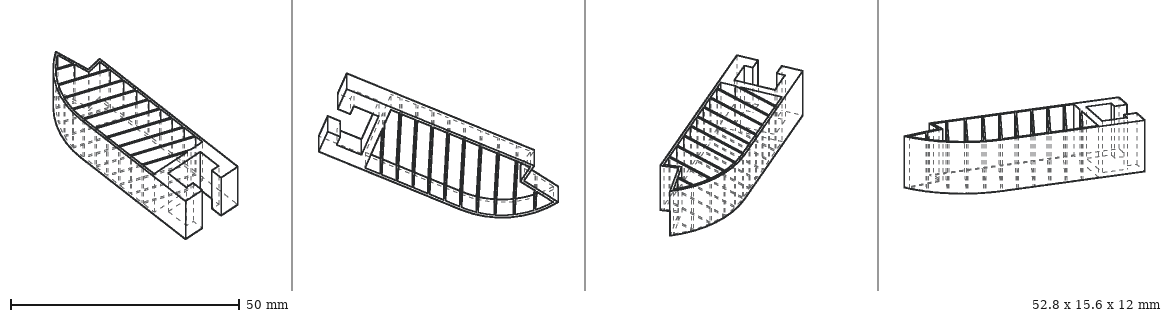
import cadquery as cq
import math

length = 52.8
width = 15.6
height = 12.0
skin = 0.6

tip_y = 10.0
nose_length = 19.0
nose_radius = (nose_length**2 + tip_y**2) / (2 * tip_y)

notch_tilt = math.radians(10)
notch_start_x = 8.1

rib_count = 10
rib_pitch = nose_length / 5
rib_thickness = 0.4
rib_lean = math.radians(20)

cavity_end_x = 42.0
channel_depth = 8.9
channel_width = 9.6
lip_depth = 3.0
mouth_width = 5.6


def arc_x(y, inset):
    """X of the nose arc at the given Y, with the arc moved inward by inset."""
    return nose_length - math.sqrt((nose_radius - inset) ** 2 - (nose_radius - y) ** 2)


def skin_y(x):
    """Y of the outer skin on the nose arc and the flat side."""
    if x >= nose_length:
        return 0.0
    return nose_radius - math.sqrt(nose_radius**2 - (nose_length - x) ** 2)


def make_notch(inset):
    """Block that removes the notch, its two walls moved inward by inset."""
    rise = width - tip_y
    wall_length = rise * math.cos(notch_tilt) - notch_start_x * math.sin(notch_tilt)
    corner_x = notch_start_x + wall_length * math.sin(notch_tilt)
    corner_y = width - wall_length * math.cos(notch_tilt)
    return (
        cq.Workplane("XY")
        .box(width, width, height, centered=(False, False, False))
        .translate((inset - width, -inset, 0))
        .rotate((0, 0, 0), (0, 0, 1), math.degrees(notch_tilt))
        .translate((corner_x, corner_y, 0))
    )


def make_body(inset, end_x):
    """Solid nose profile, every side moved inward by inset, with a straight end at end_x."""
    top_y = width - inset
    middle_y = tip_y / 2
    return (
        cq.Workplane("XY")
        .moveTo(arc_x(top_y, inset), top_y)
        .threePointArc((arc_x(middle_y, inset), middle_y), (nose_length, inset))
        .lineTo(end_x, inset)
        .lineTo(end_x, top_y)
        .close()
        .extrude(height)
        .cut(make_notch(inset))
    )


def make_rib(index):
    """Leaning rib standing on the outer skin, long enough to cross the cavity."""
    base_x = index * rib_pitch
    base_y = skin_y(base_x)
    half_step = rib_thickness / math.cos(rib_lean) / 2
    run = (width - base_y) * math.tan(rib_lean)
    return (
        cq.Workplane("XY")
        .moveTo(base_x - half_step, base_y)
        .lineTo(base_x + half_step, base_y)
        .lineTo(base_x + run + half_step, width)
        .lineTo(base_x + run - half_step, width)
        .close()
        .extrude(height)
    )


def make_channel():
    """Clip channel: a wide pocket opening to the +X end through a narrower mouth."""
    pocket_depth = channel_depth - lip_depth
    pocket_start_x = length - channel_depth
    from_edge = (False, True, False)
    pocket = cq.Workplane("XY").box(pocket_depth, channel_width, height, centered=from_edge)
    mouth = cq.Workplane("XY").box(channel_depth, mouth_width, height, centered=from_edge)
    return pocket.union(mouth).translate((pocket_start_x, width / 2, 0))


cavity = make_body(skin, cavity_end_x)
for rib_index in range(1, rib_count + 1):
    cavity = cavity.cut(make_rib(rib_index))

result = make_body(0, length).cut(cavity).cut(make_channel())